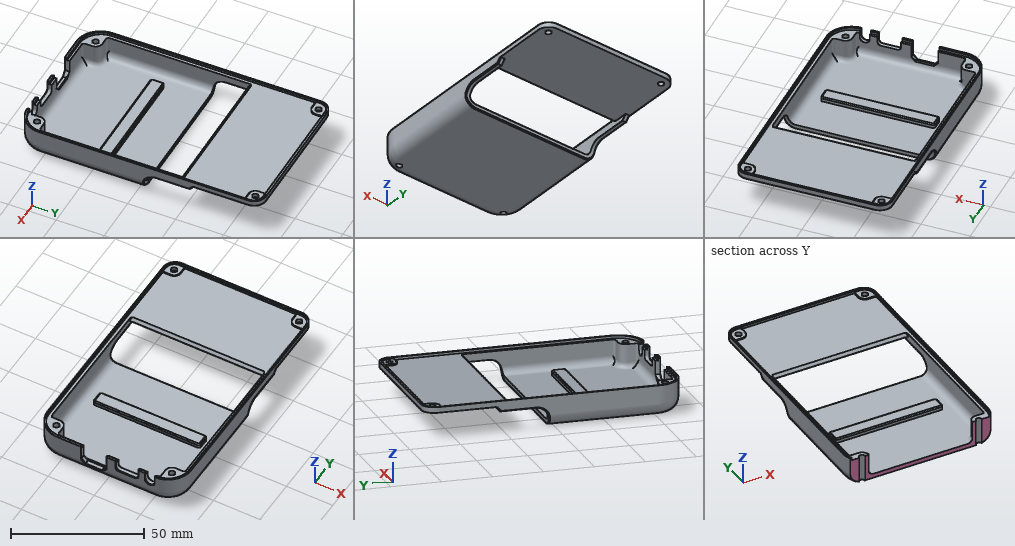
import cadquery as cq
import math

width = 62.0
length = 102.0
height = 12.3
front = -length / 2
rear = length / 2

front_corner_radius = 10.0
rear_corner_radius = 5.0
belly_radius = 5.1
plate_depth = 2.2
side_wall_depth = 4.3
step_start = rear - 27.6
step_length = 1.9
sweep_radius = 5.1
opening_front = rear - 48.8
edge_break = 0.4

rim_side = 0.66
rim_end = 0.97
recess_depth = 1.0
recess_front_radius = front_corner_radius - rim_end
recess_rear_radius = rear_corner_radius - rim_end

wall = 2.0
floor_thickness = 2.0
inner_fillet = belly_radius - wall
cavity_corner_radius = 1.0
cavity_half_width = width / 2 - wall
cavity_front = front + wall
floor_z = floor_thickness - height
opening_rear = rear - 34.0
bevel = plate_depth - recess_depth
floor_edge_break = 0.6

screw_diameter = 2.4
post_radius = 2.9
post_foot_radius = 2.0
front_screw_inset = 6.0
rear_screw_inset = 4.0
boss_height = 0.5
front_screw_x = width / 2 - front_screw_inset
front_screw_y = front + front_screw_inset
rear_screw_x = width / 2 - rear_screw_inset
rear_screw_y = rear - rear_screw_inset

bar_length = 46.2
bar_width = 5.7
bar_height = 1.8
bar_center_y = front + 32.9
bar_corner_radius = 1.0
bar_edge_break = 0.5

port_flare = 0.25
large_port_x = -5.4
large_port_width = 10.8
large_port_depth = 8.2
large_port_bevel = 1.8
slot_port_x = 9.0
slot_port_width = 9.6
slot_port_depth = 4.6
slot_port_radius = 1.5
round_port_x = 18.9
round_port_diameter = 4.0
round_port_depth = 4.9


def rounded_slab(side_inset, end_inset, front_radius, rear_radius, depth):
    """Plan-shaped slab below Z = 0 with its own front and rear corner radii."""
    slab = cq.Workplane("XY").box(width - 2 * side_inset, length - 2 * end_inset, depth)
    slab = slab.translate((0, 0, -depth / 2))
    slab = slab.edges("|Z and <Y").fillet(front_radius)
    return slab.edges("|Z and >Y").fillet(rear_radius)


def block(x_min, x_max, y_min, y_max, z_min, z_max):
    """Axis-aligned box between two corners."""
    box = cq.Workplane("XY").box(x_max - x_min, y_max - y_min, z_max - z_min, centered=False)
    return box.translate((x_min, y_min, z_min))


def underside_cut():
    """Space under the thin plate and the swept side walls, across the full width."""
    sweep_start = opening_front + sweep_radius
    sweep_mid = sweep_radius * math.sqrt(0.5)
    center_z = -side_wall_depth - sweep_radius
    profile = (
        cq.Workplane("YZ")
        .moveTo(rear + wall, -plate_depth)
        .lineTo(step_start, -plate_depth)
        .lineTo(step_start - step_length, -side_wall_depth)
        .lineTo(sweep_start, -side_wall_depth)
        .threePointArc((sweep_start - sweep_mid, center_z + sweep_mid), (opening_front, center_z))
        .lineTo(opening_front, -height - wall)
        .lineTo(rear + wall, -height - wall)
        .close()
    )
    return profile.extrude(width, both=True)


def outer_body():
    """Solid outer form with the rounded belly, the stepped underside and its broken edges."""
    body = rounded_slab(0, 0, front_corner_radius, rear_corner_radius, height)
    body = body.faces("<Z").edges().fillet(belly_radius)
    body = body.cut(underside_cut())
    swept_zone = cq.selectors.BoxSelector(
        (-width, opening_front - edge_break, -height - edge_break),
        (width, step_start - edge_break, -plate_depth - edge_break),
    )
    crosswise = cq.selectors.ParallelDirSelector(cq.Vector(1, 0, 0))
    side_edges = body.edges(swept_zone - crosswise)
    bottom_edge = body.faces("<Z").edges(">Y")
    return side_edges.add(bottom_edge).chamfer(edge_break)


def on_both_sides(body):
    """The body together with its mirror image across the middle of the width."""
    return body.union(body.mirror("YZ"))


def front_posts():
    """Square corner columns around the front screws, each with one round inner corner."""
    outer_x = width / 2
    arc_mid = post_radius * math.sqrt(0.5)
    outline = (
        cq.Workplane("XY")
        .moveTo(outer_x, front)
        .lineTo(outer_x, front_screw_y + post_radius)
        .lineTo(front_screw_x, front_screw_y + post_radius)
        .threePointArc(
            (front_screw_x - arc_mid, front_screw_y + arc_mid),
            (front_screw_x - post_radius, front_screw_y),
        )
        .lineTo(front_screw_x - post_radius, front)
        .close()
    )
    return on_both_sides(outline.extrude(-height))


def cavity_block():
    """Plain box of the cavity, rounded at its two rear corners."""
    rear_y = opening_rear + bevel
    box = block(-cavity_half_width, cavity_half_width, cavity_front, rear_y, floor_z, 0)
    return box.edges("|Z and >Y").fillet(cavity_corner_radius)


def rear_bevel():
    """Wedge that slopes the rear end of the cavity down to the underside of the plate."""
    top_y = opening_rear + bevel
    wedge = (
        cq.Workplane("YZ")
        .moveTo(top_y, -recess_depth)
        .lineTo(opening_rear, -plate_depth)
        .lineTo(opening_rear, -height)
        .lineTo(top_y, -height)
        .close()
    )
    return wedge.extrude(width, both=True)


def cavity():
    """Inner space around the front posts, rounded where walls and posts meet the floor."""
    around_posts = cavity_block().cut(front_posts())
    front_zone = cq.selectors.BoxSelector((-width, front, -height), (width, front_screw_y + 2 * post_radius, 0))
    side_corners = around_posts.edges("|Z").edges(front_zone).edges("<X or >X")
    front_corners = around_posts.edges("|Z and <Y")
    around_posts = side_corners.add(front_corners).fillet(cavity_corner_radius)
    around_posts = around_posts.faces("<Z").edges("not >Y").fillet(post_foot_radius)
    between_walls = cavity_block().faces("<Z").edges("<X or >X or <Y").fillet(inner_fillet)
    return around_posts.intersect(between_walls).cut(rear_bevel())


def underside_pocket():
    """Clearance below the plate, between the stepped side walls."""
    return block(
        -cavity_half_width, cavity_half_width, opening_front, step_start, -side_wall_depth, -plate_depth
    )


def rear_bosses():
    """Low pads around the rear screws, standing on the recess floor."""
    reach = rear_screw_inset + post_radius
    pad = block(
        width / 2 - reach, width / 2, rear - reach, rear, -recess_depth, boss_height - recess_depth
    )
    pad = pad.edges("|Z and <X and <Y").fillet(post_radius)
    envelope = rounded_slab(0, 0, front_corner_radius, rear_corner_radius, height)
    return on_both_sides(pad).intersect(envelope)


def crossbar():
    """Bar across the floor with rounded corners and broken upper edges."""
    bar = cq.Workplane("XY").box(bar_length, bar_width, bar_height, centered=(True, True, False))
    bar = bar.edges("|Z").fillet(bar_corner_radius).faces(">Z").edges().chamfer(bar_edge_break)
    return bar.translate((0, bar_center_y, floor_z))


def screw_holes():
    """Four screw holes through the full height."""
    places = [
        (side * x, y)
        for side in (-1, 1)
        for x, y in ((front_screw_x, front_screw_y), (rear_screw_x, rear_screw_y))
    ]
    return cq.Workplane("XY").pushPoints(places).circle(screw_diameter / 2).extrude(-height)


def flared_port(outline):
    """Opening of the given outline through the front wall, widened at the outer face."""
    passage = outline.extrude(-wall)
    mouth = outline.toPending().offset2D(port_flare).extrude(-port_flare, taper=45)
    return passage.union(mouth)


def port_outline(x, port_width, depth, corner, bevelled=False):
    """Port contour on the front face, from past the open top down to its two shaped lower corners."""
    side = port_width / 2
    flat = side - corner
    shoulder = corner - depth
    arc_x = flat + corner * math.sqrt(0.5)
    arc_z = shoulder - corner * math.sqrt(0.5)
    outline = cq.Workplane("XZ", origin=(x, front, 0)).moveTo(-side, wall).lineTo(-side, shoulder)
    if bevelled:
        outline = outline.lineTo(-flat, -depth).lineTo(flat, -depth).lineTo(side, shoulder)
    else:
        outline = outline.threePointArc((-arc_x, arc_z), (-flat, -depth))
        if flat > 0:
            outline = outline.lineTo(flat, -depth)
        outline = outline.threePointArc((arc_x, arc_z), (side, shoulder))
    return outline.lineTo(side, wall).close()


def ports():
    """Large bevelled port, rounded slot and round-bottomed port."""
    large = port_outline(large_port_x, large_port_width, large_port_depth, large_port_bevel, bevelled=True)
    slot = port_outline(slot_port_x, slot_port_width, slot_port_depth, slot_port_radius)
    round_port = port_outline(round_port_x, round_port_diameter, round_port_depth, round_port_diameter / 2)
    return flared_port(large).union(flared_port(slot)).union(flared_port(round_port))


recess = rounded_slab(rim_side, rim_end, recess_front_radius, recess_rear_radius, recess_depth)

result = (
    outer_body()
    .cut(recess)
    .cut(cavity())
    .cut(underside_pocket())
    .union(rear_bosses())
    .union(crossbar())
    .cut(screw_holes())
    .cut(ports())
)